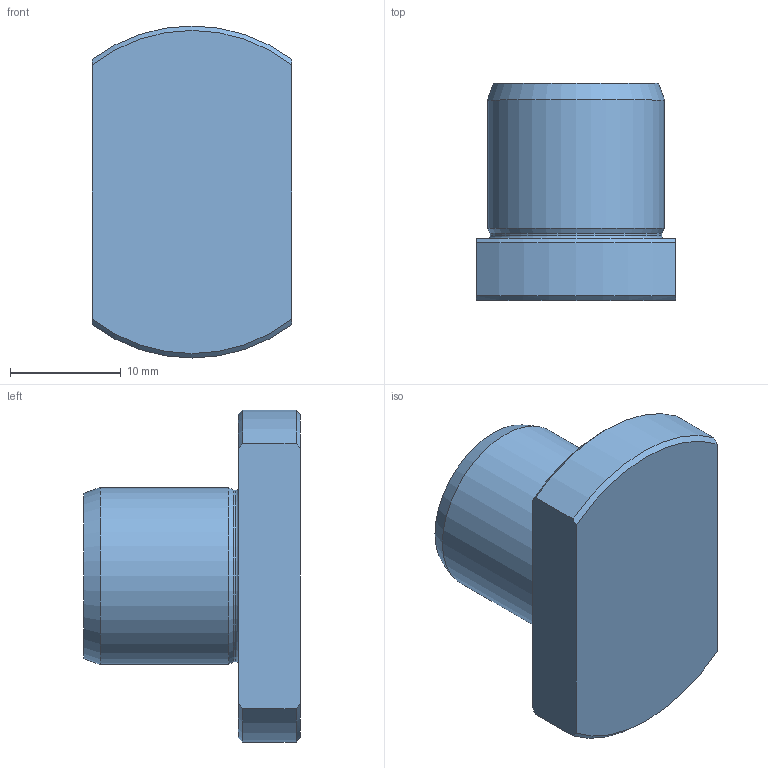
import cadquery as cq
import math

head_diameter = 30.0
head_width = 18.0
head_thickness = 5.6
head_chamfer = 0.4

shank_diameter = 16.0
shank_length = 14.0
lead_in_length = 1.5
lead_in_angle = 20.0

groove_depth = 0.25
groove_width = 0.9
groove_ramp_length = 0.45
groove_fillet = 0.25

head_radius = head_diameter / 2
shank_radius = shank_diameter / 2
lead_in_radius = shank_radius - lead_in_length * math.tan(math.radians(lead_in_angle))
groove_radius = shank_radius - groove_depth


def revolve_about_y(profile):
    """Turn a closed (radius, Y) profile about the Y axis."""
    return profile.close().revolve(360, (0, 0, 0), (0, 1, 0))


def make_head():
    """Chamfered disc in front of Y = 0, cut to width by two flats."""
    rim_radius = head_radius - head_chamfer
    disc = revolve_about_y(
        cq.Workplane("XY")
        .moveTo(0, -head_thickness)
        .lineTo(rim_radius, -head_thickness)
        .lineTo(head_radius, head_chamfer - head_thickness)
        .lineTo(head_radius, -head_chamfer)
        .lineTo(rim_radius, 0)
        .lineTo(0, 0)
    )
    width_limit = cq.Workplane("XY").box(head_width, 2 * head_thickness, head_diameter)
    return disc.intersect(width_limit)


def make_shank():
    """Turned shank with a relief groove at the head and a lead-in cone at the tip."""
    return revolve_about_y(
        cq.Workplane("XY")
        .moveTo(0, 0)
        .lineTo(groove_radius + groove_fillet, 0)
        .radiusArc((groove_radius, groove_fillet), groove_fillet)
        .lineTo(groove_radius, groove_width - groove_ramp_length)
        .lineTo(shank_radius, groove_width)
        .lineTo(shank_radius, shank_length - lead_in_length)
        .lineTo(lead_in_radius, shank_length)
        .lineTo(0, shank_length)
    )


result = make_head().union(make_shank())